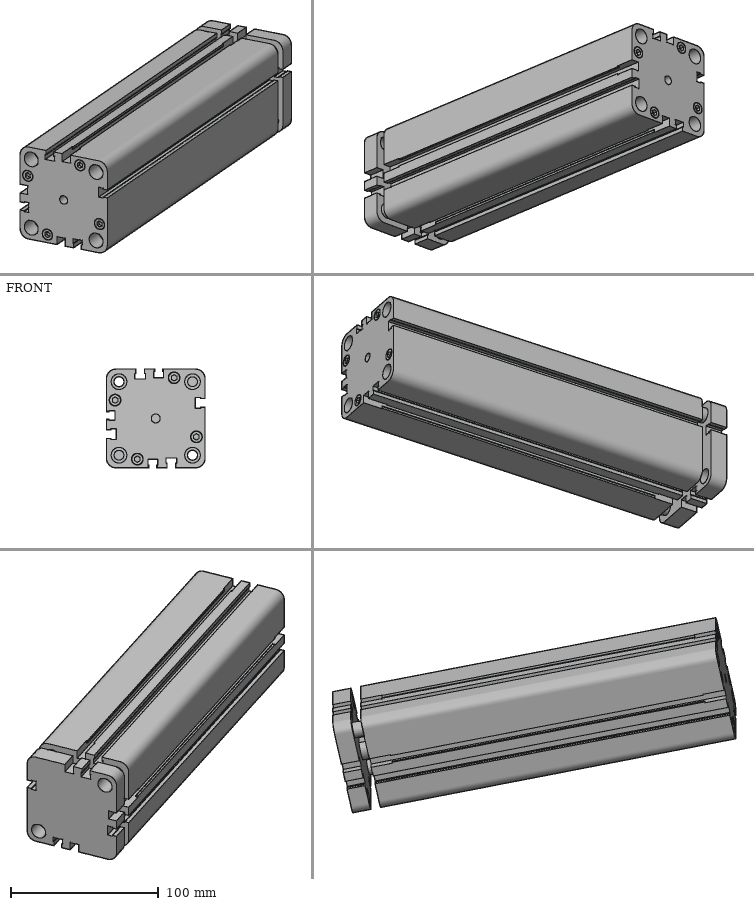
import cadquery as cq
import math

TOTAL_LENGTH = 265.0
SIDE = 67.0
CORNER_RADIUS = 6.5
PLATE_THICKNESS = 12.5
GAP = 7.0
CAP_LENGTH = 14.5

HALF = SIDE / 2
FRONT_Y = -TOTAL_LENGTH / 2
BACK_Y = TOTAL_LENGTH / 2
PLATE_Y = BACK_Y - PLATE_THICKNESS
REAR_CAP_END_Y = PLATE_Y - GAP
BARREL_START_Y = FRONT_Y + CAP_LENGTH
BARREL_END_Y = REAR_CAP_END_Y - CAP_LENGTH

WIDE_OFFSET = -10.5
WIDE_MOUTH = 5.8
WIDE_INNER = 7.2
WIDE_LIP = 3.2
WIDE_DEPTH = 6.5
NARROW_OFFSET = 2.0
NARROW_MOUTH = 5.0
NARROW_INNER = 6.4
NARROW_LIP = 1.9
NARROW_DEPTH = 5.8

WIDE_TURNS = (0, 90, 180, 270)
NARROW_TURNS = (0, 90, 180)

MOUNT_OFFSET = 25.0
MOUNT_BORE = 6.5
MOUNT_COUNTERBORE = 10.5

SCREW_ALONG = 12.5
SCREW_OUT = 27.5
SCREW_RECESS = 8.0
SCREW_HEAD = 7.5
SCREW_RECESS_DEPTH = 4.0
SOCKET_FLATS = 3.7
SOCKET_DEPTH = 2.6

CENTRE_HOLE = 6.0
CENTRE_HOLE_DEPTH = 10.5

ROD_DIAMETER = 16.0
ROD_FLATS = 13.0
ROD_FLAT_LENGTH = 4.8
ROD_CHAMFER_LENGTH = 1.5
ROD_CHAMFER_DEPTH = 0.3
PIN_DIAMETER = 10.5
PIN_OFFSET = 24.0


def section_plane(y):
    """Plane across the axis at y: local x is X, local y is -Z, extrusion goes towards +Y."""
    return cq.Workplane(cq.Plane(origin=(0, y, 0), xDir=(1, 0, 0), normal=(0, 1, 0)))


def cylinder(x, z, diameter, y_start, y_end):
    """Round bar or hole along Y, centred on (x, z)."""
    return section_plane(y_start).center(x, -z).circle(diameter / 2).extrude(y_end - y_start)


def block(x, z_top, width, height, y_start, y_end):
    """Box with its upper face at z_top, centred on x."""
    return cq.Workplane("XY").box(width, y_end - y_start, height).translate(
        (x, (y_start + y_end) / 2, z_top - height / 2)
    )


def turn(shape, degrees):
    """Rotate about the Y axis, from the top side towards the left side."""
    return shape.rotate((0, 0, 0), (0, 1, 0), -degrees)


def t_slot(offset, mouth, inner, lip, depth, y_start, y_end):
    """Cutter for a slot in the top side: a mouth that widens below the lip."""
    neck = block(offset, HALF, mouth, depth, y_start, y_end)
    head = block(offset, HALF - lip, inner, depth - lip, y_start, y_end)
    return neck.union(head)


def profile(y_start, y_end, narrow_mouth):
    """Square length of the section with its slots."""
    length = y_end - y_start
    body = section_plane(y_start).rect(SIDE, SIDE).extrude(length).edges("|Y").fillet(CORNER_RADIUS)
    wide = t_slot(WIDE_OFFSET, WIDE_MOUTH, WIDE_INNER, WIDE_LIP, WIDE_DEPTH, y_start, y_end)
    narrow = t_slot(NARROW_OFFSET, narrow_mouth, NARROW_INNER, NARROW_LIP, NARROW_DEPTH, y_start, y_end)
    for angle in WIDE_TURNS:
        body = body.cut(turn(wide, angle))
    for angle in NARROW_TURNS:
        body = body.cut(turn(narrow, angle))
    return body


def piston_rod():
    """Rod across the gap, chamfered at the plate, with two wrench flats."""
    radius = ROD_DIAMETER / 2
    flat_x = ROD_FLATS / 2
    tip_radius = radius - ROD_CHAMFER_DEPTH
    chamfer_y = PLATE_Y - ROD_CHAMFER_LENGTH
    rod = (
        cq.Workplane("XY")
        .moveTo(0, REAR_CAP_END_Y)
        .lineTo(radius, REAR_CAP_END_Y)
        .lineTo(radius, chamfer_y)
        .lineTo(tip_radius, PLATE_Y)
        .lineTo(0, PLATE_Y)
        .close()
        .revolve(360, (0, 0), (0, 1))
    )
    flat_end_y = PLATE_Y - ROD_FLAT_LENGTH
    ramp = radius - flat_x
    cutter = (
        cq.Workplane("XY", origin=(0, 0, -radius))
        .moveTo(flat_x, PLATE_Y)
        .lineTo(flat_x, flat_end_y)
        .lineTo(radius, flat_end_y - ramp)
        .lineTo(radius, PLATE_Y)
        .close()
        .extrude(ROD_DIAMETER)
    )
    return rod.cut(cutter).cut(cutter.mirror("YZ"))


front_cap = profile(FRONT_Y, BARREL_START_Y, NARROW_INNER)
barrel = profile(BARREL_START_Y, BARREL_END_Y, NARROW_MOUTH)
rear_cap = profile(BARREL_END_Y, REAR_CAP_END_Y, NARROW_INNER)
plate = profile(PLATE_Y, BACK_Y, NARROW_INNER)
result = barrel.union(front_cap).union(rear_cap).union(plate)

for x in (-MOUNT_OFFSET, MOUNT_OFFSET):
    for z in (-MOUNT_OFFSET, MOUNT_OFFSET):
        result = result.cut(cylinder(x, z, MOUNT_BORE, FRONT_Y, REAR_CAP_END_Y))
        result = result.cut(cylinder(x, z, MOUNT_COUNTERBORE, FRONT_Y, BARREL_START_Y))
for side in (-1, 1):
    result = result.cut(
        cylinder(side * MOUNT_OFFSET, -side * MOUNT_OFFSET, MOUNT_COUNTERBORE, PLATE_Y, BACK_Y)
    )

recess_floor_y = FRONT_Y + SCREW_RECESS_DEPTH
screw_gap = cylinder(SCREW_ALONG, SCREW_OUT, SCREW_RECESS, FRONT_Y, recess_floor_y).cut(
    cylinder(SCREW_ALONG, SCREW_OUT, SCREW_HEAD, FRONT_Y, recess_floor_y)
)
for angle in WIDE_TURNS:
    result = result.cut(turn(screw_gap, angle))

for x, z in (
    (SCREW_ALONG, SCREW_OUT),
    (SCREW_OUT, -SCREW_ALONG),
    (-SCREW_ALONG, -SCREW_OUT),
    (-SCREW_OUT, SCREW_ALONG),
):
    socket = (
        section_plane(FRONT_Y)
        .polygon(6, SOCKET_FLATS / math.cos(math.pi / 6))
        .extrude(SOCKET_DEPTH)
    )
    result = result.cut(turn(socket, 30).translate((x, 0, z)))

result = result.cut(cylinder(0, 0, CENTRE_HOLE, FRONT_Y, FRONT_Y + CENTRE_HOLE_DEPTH))

result = result.union(piston_rod())
for side in (-1, 1):
    result = result.union(
        cylinder(side * PIN_OFFSET, side * PIN_OFFSET, PIN_DIAMETER, BARREL_END_Y, PLATE_Y)
    )